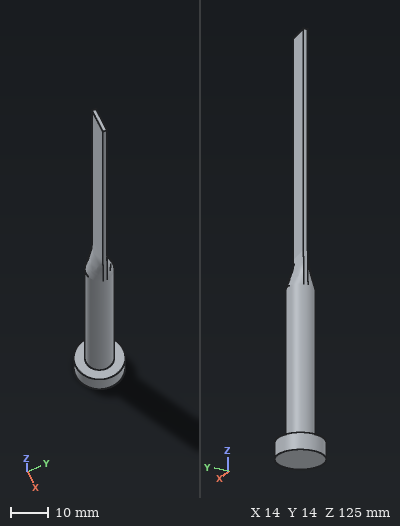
import cadquery as cq
import math

total_length = 125.0
head_diameter = 14.0
head_height = 5.0
shank_diameter = 8.0
shank_top = 50.0
blade_base = 60.0
blade_width = 7.5
blade_thickness = 1.2

shank_radius = shank_diameter / 2
half_width = blade_width / 2
half_thickness = blade_thickness / 2
split_x = math.sqrt(shank_radius**2 - half_thickness**2)


def make_head_and_shank():
    """Round head at the base with the cylindrical shank standing on it."""
    head = cq.Workplane("XY").circle(head_diameter / 2).extrude(head_height)
    shank = cq.Workplane("XY").circle(shank_radius).extrude(shank_top)
    return head.union(shank)


def make_transition():
    """Ruled transition from four arcs of the shank circle to the four blade sides."""
    return (
        cq.Workplane("XY", origin=(0, 0, shank_top))
        .moveTo(-split_x, -half_thickness)
        .threePointArc((0, -shank_radius), (split_x, -half_thickness))
        .threePointArc((shank_radius, 0), (split_x, half_thickness))
        .threePointArc((0, shank_radius), (-split_x, half_thickness))
        .threePointArc((-shank_radius, 0), (-split_x, -half_thickness))
        .close()
        .workplane(offset=blade_base - shank_top)
        .moveTo(-half_width, -half_thickness)
        .lineTo(half_width, -half_thickness)
        .lineTo(half_width, half_thickness)
        .lineTo(-half_width, half_thickness)
        .close()
        .loft(ruled=True, combine=True)
    )


def make_blade():
    """Flat rectangular blade above the transition."""
    return (
        cq.Workplane("XY", origin=(0, 0, blade_base))
        .rect(blade_width, blade_thickness)
        .extrude(total_length - blade_base)
    )


result = make_head_and_shank().union(make_transition()).union(make_blade())